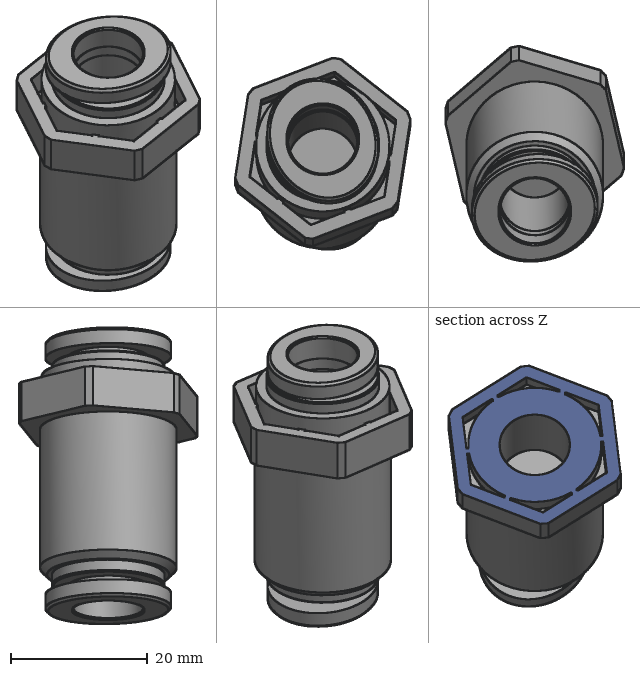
import cadquery as cq

total_height = 40.8
collet_head_height = 2.5
collet_neck_height = 1.15
ring_height = 1.75
collet_height = collet_head_height + collet_neck_height
housing_bottom = collet_height + ring_height
housing_top = total_height - housing_bottom

head_width_x = 15.87
head_width_y = 18.5
head_chamfer = 0.4
neck_diameter = 11.7
collet_bore = 10.15
mouth_chamfer = 0.25

ring_diameter = 16.5
ring_chamfer = 0.2

bore_diameter = 10.2
barrel_diameter = 20.0
barrel_chamfer = 1.05
collar_diameter = 19.5
hex_bottom = 27.38
hex_height = 5.95
hex_top = hex_bottom + hex_height
hex_across_flats = 24.0
hex_across_corners = 27.0
pocket_across_flats = 19.9
rib_count = 6
rib_thickness = 0.98
hex_wall = (hex_across_flats - pocket_across_flats) / 2
pocket_floor = hex_bottom + hex_wall
web_thickness = 2.05
bore_depth = (housing_top - housing_bottom - web_thickness) / 2


def cylinder(diameter, bottom, height):
    return cq.Workplane("XY").workplane(offset=bottom).circle(diameter / 2).extrude(height)


def hex_prism(across_flats, bottom, height, turn):
    """Hexagonal prism turned about Z, with two flats facing along X when the turn is zero."""
    plane = cq.Workplane("XY").workplane(offset=bottom)
    prism = plane.polygon(6, across_flats, circumscribed=True).extrude(height)
    return prism.rotate((0, 0, 0), (0, 0, 1), turn)


def make_pocket_rib(angle):
    """Short rib bridging the gap between the collar and one flat of the pocket."""
    outer_reach = (pocket_across_flats + hex_wall) / 2
    inner_reach = (collar_diameter - hex_wall) / 2
    rib = cq.Workplane("XY").box(
        rib_thickness, outer_reach - inner_reach, hex_top - pocket_floor, centered=(True, False, False)
    )
    return rib.translate((0, inner_reach, pocket_floor)).rotate((0, 0, 0), (0, 0, 1), angle)


def make_housing():
    barrel = cylinder(barrel_diameter, housing_bottom, hex_top - housing_bottom)
    barrel = barrel.faces("<Z").chamfer(barrel_chamfer)

    corner_cutter = hex_prism(hex_across_corners, hex_bottom, hex_height, turn=0)
    hexagon = hex_prism(hex_across_flats, hex_bottom, hex_height, turn=30).intersect(corner_cutter)

    pocket = hex_prism(pocket_across_flats, pocket_floor, hex_top - pocket_floor, turn=30)
    collar = cylinder(collar_diameter, pocket_floor, housing_top - pocket_floor)
    housing = barrel.union(hexagon).cut(pocket).union(collar)
    for rib_index in range(rib_count):
        housing = housing.union(make_pocket_rib(rib_index * 360 / rib_count))

    for bore_start in (housing_bottom, housing_top - bore_depth):
        housing = housing.cut(cylinder(bore_diameter, bore_start, bore_depth))
    return housing


def make_upper_guide_ring():
    ring = cylinder(ring_diameter, housing_top, ring_height)
    ring = ring.faces(">Z").chamfer(ring_chamfer)
    return ring.cut(cylinder(bore_diameter, housing_top, ring_height))


def make_upper_collet():
    """Release collet: a round neck under an oval head, bored right through."""
    collet_bottom = total_height - collet_height
    head_plane = cq.Workplane("XY").workplane(offset=collet_bottom + collet_neck_height)
    head = head_plane.ellipse(head_width_x / 2, head_width_y / 2).extrude(collet_head_height)
    head = head.faces(">Z").chamfer(head_chamfer)
    neck = cylinder(neck_diameter, collet_bottom, collet_neck_height)
    bore = cylinder(collet_bore, collet_bottom, collet_height)
    collet = neck.union(head).cut(bore)
    return collet.faces(">Z").edges("%CIRCLE").chamfer(mouth_chamfer)


def both_ends(upper_body):
    """Return the upper body and its mirror image at the lower end."""
    lower_body = upper_body.mirror("XY", (0, 0, total_height / 2))
    return [upper_body.val(), lower_body.val()]


housing = make_housing()
guide_rings = both_ends(make_upper_guide_ring())
collets = both_ends(make_upper_collet())

result = cq.Compound.makeCompound([housing.val(), *guide_rings, *collets])